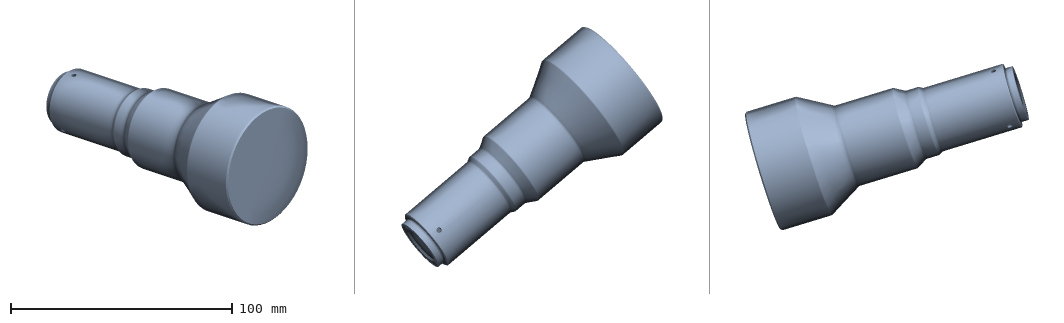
import cadquery as cq
import math


nose_radius = 12.7
relief_radius = 12.4
relief_start = 3.0
mount_flange = 3.7

counterbore_radius = 11.6
counterbore_depth = 0.1
recess_radius = 9.35
recess_depth = 1.2
lens_rise = 1.0

barrel_radius = 15.0
barrel_chamfer = 0.3
collar_radius = 16.1
middle_radius = 19.0
front_radius = 28.0
front_chamfer = 0.7
total_length = 121.9

cone_angle = 30.0
cone_edge_round = 1.0
collar_cone_start = 41.5
middle_cone_start = 49.5
front_cone_start = 82.2

screw_count = 3
screw_diameter = 2.4
screw_depth = 2.0
screw_x = 8.4
screw_first_angle = 13.0

select_margin = 0.01


def cone_end(start, small_radius, large_radius):
    """X position where a cone that begins at start reaches its large radius."""
    return start + (large_radius - small_radius) / math.tan(math.radians(cone_angle))


def turned_body():
    """Revolve the half outline of the barrel about the X axis and round the cone edges."""
    collar_cone_end = cone_end(collar_cone_start, barrel_radius, collar_radius)
    middle_cone_end = cone_end(middle_cone_start, collar_radius, middle_radius)
    front_cone_end = cone_end(front_cone_start, middle_radius, front_radius)
    cone_edges = [
        (collar_cone_start, barrel_radius),
        (collar_cone_end, collar_radius),
        (middle_cone_start, collar_radius),
        (middle_cone_end, middle_radius),
        (front_cone_start, middle_radius),
        (front_cone_end, front_radius),
    ]
    outline = [
        (0, 0),
        (0, nose_radius),
        (relief_start, nose_radius),
        (relief_start, relief_radius),
        (mount_flange, relief_radius),
        (mount_flange, barrel_radius - barrel_chamfer),
        (mount_flange + barrel_chamfer, barrel_radius),
        *cone_edges,
        (total_length - front_chamfer, front_radius),
        (total_length, front_radius - front_chamfer),
        (total_length, 0),
    ]
    body = cq.Workplane("XY").polyline(outline).close().revolve(360, (0, 0, 0), (1, 0, 0))
    for x, radius in cone_edges:
        edge_box = cq.selectors.BoxSelector(
            (x - select_margin, -2 * radius, -2 * radius),
            (x + select_margin, 2 * radius, 2 * radius),
            boundingbox=True,
        )
        body = body.edges(edge_box).fillet(cone_edge_round)
    return body


def lens_recess():
    """Stepped round recess in the mount end with a shallow domed lens as its floor."""
    dome_radius = (recess_radius**2 + lens_rise**2) / (2 * lens_rise)
    half_angle = math.asin(recess_radius / dome_radius) / 2
    apex_depth = recess_depth - lens_rise
    arc_middle = (
        apex_depth + dome_radius * (1 - math.cos(half_angle)),
        dome_radius * math.sin(half_angle),
    )
    return (
        cq.Workplane("XY")
        .lineTo(0, counterbore_radius)
        .lineTo(counterbore_depth, counterbore_radius)
        .lineTo(counterbore_depth, recess_radius)
        .lineTo(recess_depth, recess_radius)
        .threePointArc(arc_middle, (apex_depth, 0))
        .close()
        .revolve(360, (0, 0, 0), (1, 0, 0))
    )


def screw_hole(angle):
    """Radial blind hole, at an angle measured from +Z toward -Y."""
    return (
        cq.Workplane("XY", origin=(screw_x, 0, barrel_radius - screw_depth))
        .circle(screw_diameter / 2)
        .extrude(2 * screw_depth)
        .rotate((0, 0, 0), (1, 0, 0), angle)
    )


result = turned_body().cut(lens_recess())
for index in range(screw_count):
    result = result.cut(screw_hole(screw_first_angle + index * 360 / screw_count))